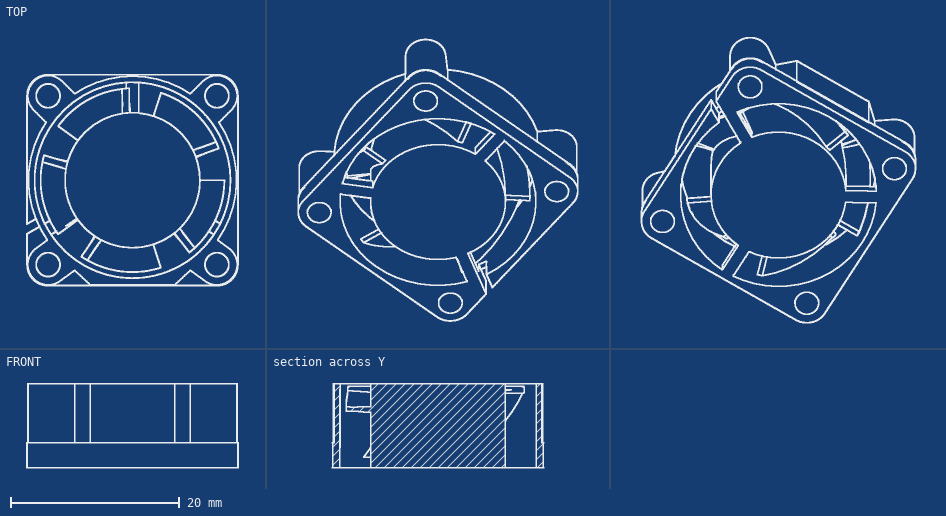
import cadquery as cq
import math

side = 25.0
height = 10.0
base_height = 3.0
corner_radius = 2.5
bore_radius = 23.2 / 2
shroud_radius = 12.32

hole_spacing = 20.0
hole_diameter = 2.8
boss_radius = 2.4
rear_boss_angle = 45.0
front_boss_angle = 36.0
boss_reach = 4.0

hole_offset = hole_spacing / 2
front_wall_y = -(hole_offset + boss_radius)
front_wall_half_width = 5.0
front_wall_root_x = 7.45
front_wall_root_y = -10.12

hub_radius = 16.0 / 2
strut_width = 1.5
strut_height = 1.5
strut_angles = (90, 210, 330)
overlap = 0.25
cable_slot_width = 1.0
cable_slot_angle = 210

blade_count = 5
blade_tip_radius = 10.9
blade_width = 0.6
blade_bottom = 1.25
blade_start_angle = 144.0
blade_twist = -48.0
pin_radius = 0.42
pin_height = 9.25
pin_angle = 91.5
pin_offset = 0.55


def cylinder(radius, length):
    return cq.Workplane("XY").circle(radius).extrude(length)


def radial_bar(inner, outer, low_side, high_side, length):
    """Bar along +X from inner to outer, between two Y positions."""
    return (
        cq.Workplane("XY")
        .box(outer - inner, high_side - low_side, length, centered=False)
        .translate((inner, low_side, 0))
    )


def turn(body, angle):
    return body.rotate((0, 0, 0), (0, 0, 1), angle)


def boss(x_sign, y_sign, angle):
    """Round corner boss with a web pointing inwards at the given angle from X."""
    web = turn(radial_bar(0, boss_reach, -boss_radius, boss_radius, height),
               math.degrees(math.atan2(-y_sign * math.sin(math.radians(angle)),
                                       -x_sign * math.cos(math.radians(angle)))))
    return cylinder(boss_radius, height).union(web).translate((x_sign * hole_offset, y_sign * hole_offset, 0))


def make_frame():
    base = cq.Workplane("XY").rect(side, side).extrude(base_height).edges("|Z").fillet(corner_radius)
    front_wall = (
        cq.Workplane("XY")
        .moveTo(-front_wall_root_x, front_wall_root_y)
        .lineTo(-front_wall_half_width, front_wall_y)
        .lineTo(front_wall_half_width, front_wall_y)
        .lineTo(front_wall_root_x, front_wall_root_y)
        .close()
        .extrude(height)
    )
    frame = base.union(cylinder(shroud_radius, height)).union(front_wall)
    for x_sign in (-1, 1):
        frame = frame.union(boss(x_sign, 1, rear_boss_angle))
        frame = frame.union(boss(x_sign, -1, front_boss_angle))
    holes = cq.Workplane("XY").rect(hole_spacing, hole_spacing, forConstruction=True).vertices()
    frame = frame.cut(holes.circle(hole_diameter / 2).extrude(height))
    frame = frame.cut(cylinder(bore_radius, height))

    slot_near_side = -strut_width / 2
    slot = radial_bar(hub_radius, side, slot_near_side - cable_slot_width, slot_near_side, base_height)
    return frame.cut(turn(slot, cable_slot_angle))


def make_blade():
    """Twisted blade rising clockwise to a round pin along its upper edge."""
    root = hub_radius - overlap
    section_length = blade_tip_radius + overlap - root
    blade = (
        cq.Workplane("XY")
        .moveTo(root, -blade_width)
        .lineTo(root + section_length, -blade_width)
        .lineTo(root + section_length, 0)
        .lineTo(root, 0)
        .close()
        .twistExtrude(pin_height - blade_bottom, blade_twist)
        .translate((0, 0, blade_bottom))
    )
    pin = (
        cq.Workplane("YZ", origin=(root, 0, 0))
        .center(pin_offset, pin_height)
        .circle(pin_radius)
        .extrude(section_length)
    )
    blade = turn(blade, blade_start_angle).union(turn(pin, pin_angle))
    return blade.intersect(cylinder(blade_tip_radius, height))


result = make_frame().union(cylinder(hub_radius, height))
strut = radial_bar(hub_radius - overlap, bore_radius + overlap, -strut_width / 2, strut_width / 2, strut_height)
for strut_angle in strut_angles:
    result = result.union(turn(strut, strut_angle))
blade = make_blade()
for index in range(blade_count):
    result = result.union(turn(blade, index * 360 / blade_count))